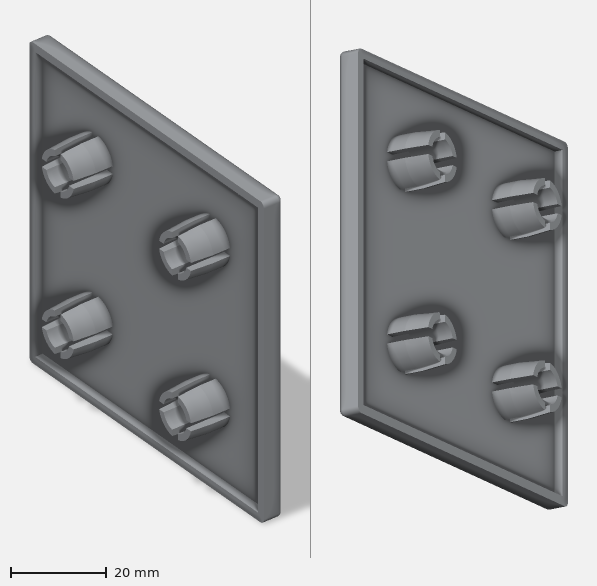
import cadquery as cq

plate_side = 80.0
plate_thickness = 5.0
corner_radius = 1.2
back_edge_radius = 1.0

rim_width = 2.0
recess_depth = 2.0
recess_side = plate_side - 2 * rim_width

peg_spacing = 40.0
peg_reach = 8.0
peg_taper_start = 2.5
peg_radius = 6.0
peg_tip_radius = 5.5
peg_bore_radius = 4.0
peg_slot_width = 2.0
peg_length = recess_depth + peg_reach


def make_plate():
    """Rounded plate with a softened back edge and a recessed front face."""
    rim_plane = cq.Workplane("XZ")
    blank = (
        rim_plane.rect(plate_side, plate_side)
        .extrude(-plate_thickness)
        .edges("|Y")
        .fillet(corner_radius)
        .faces(">Y")
        .edges()
        .fillet(back_edge_radius)
    )
    recess = rim_plane.rect(recess_side, recess_side).extrude(-recess_depth)
    return blank.cut(recess)


def make_peg():
    """Tapered tube along -Y, split into four fingers by crossed slots."""
    tube = (
        cq.Workplane("XY")
        .moveTo(peg_bore_radius, recess_depth)
        .lineTo(peg_radius, recess_depth)
        .lineTo(peg_radius, -peg_taper_start)
        .lineTo(peg_tip_radius, -peg_reach)
        .lineTo(peg_bore_radius, -peg_reach)
        .close()
        .revolve(360, (0, 0, 0), (0, 1, 0))
    )
    floor_plane = cq.Workplane("XZ", origin=(0, recess_depth, 0))
    upright_slot = floor_plane.rect(peg_slot_width, 2 * peg_radius).extrude(peg_length)
    level_slot = floor_plane.rect(2 * peg_radius, peg_slot_width).extrude(peg_length)
    return tube.cut(upright_slot).cut(level_slot)


result = make_plate()
peg = make_peg()
for x in (-peg_spacing / 2, peg_spacing / 2):
    for z in (-peg_spacing / 2, peg_spacing / 2):
        result = result.union(peg.translate((x, 0, z)))